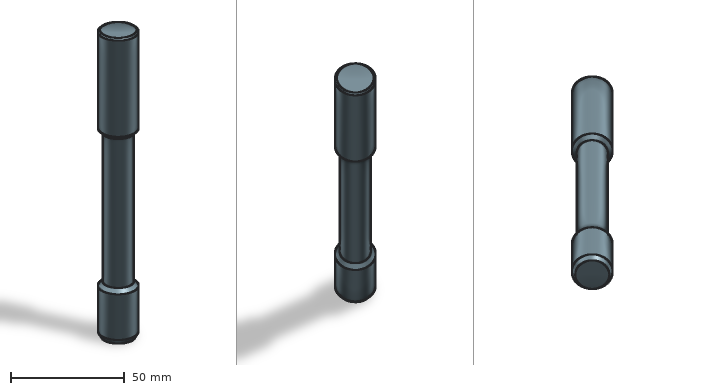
import cadquery as cq

LENGTH = 150.0
HEAD_RADIUS = 9.0
SHANK_RADIUS = 6.9

COLLAR_TOP = 27.0
UPPER_HEAD_BOTTOM = 99.9

TIP_CHAMFER_WIDTH = 1.5
TIP_CHAMFER_HEIGHT = 2.5
TOP_CHAMFER = 0.9
SHOULDER = HEAD_RADIUS - SHANK_RADIUS


def revolve_profile(points):
    """Turn a closed (radius, height) outline around the Z axis."""
    return cq.Workplane("XZ").polyline(points).close().revolve(360, (0, 0), (0, 1))


def make_lower_head():
    """Short head with a tapered tip below and a 45 degree shoulder above."""
    return revolve_profile([
        (0, 0),
        (HEAD_RADIUS - TIP_CHAMFER_WIDTH, 0),
        (HEAD_RADIUS, TIP_CHAMFER_HEIGHT),
        (HEAD_RADIUS, COLLAR_TOP - SHOULDER),
        (SHANK_RADIUS, COLLAR_TOP),
        (0, COLLAR_TOP),
    ])


def make_pin():
    """Slender shank and the long upper head with a chamfered top."""
    return revolve_profile([
        (0, COLLAR_TOP),
        (SHANK_RADIUS, COLLAR_TOP),
        (SHANK_RADIUS, UPPER_HEAD_BOTTOM),
        (HEAD_RADIUS, UPPER_HEAD_BOTTOM + SHOULDER),
        (HEAD_RADIUS, LENGTH - TOP_CHAMFER),
        (HEAD_RADIUS - TOP_CHAMFER, LENGTH),
        (0, LENGTH),
    ])


lower_head = make_lower_head()
pin = make_pin()

result = cq.Compound.makeCompound([lower_head.val(), pin.val()])